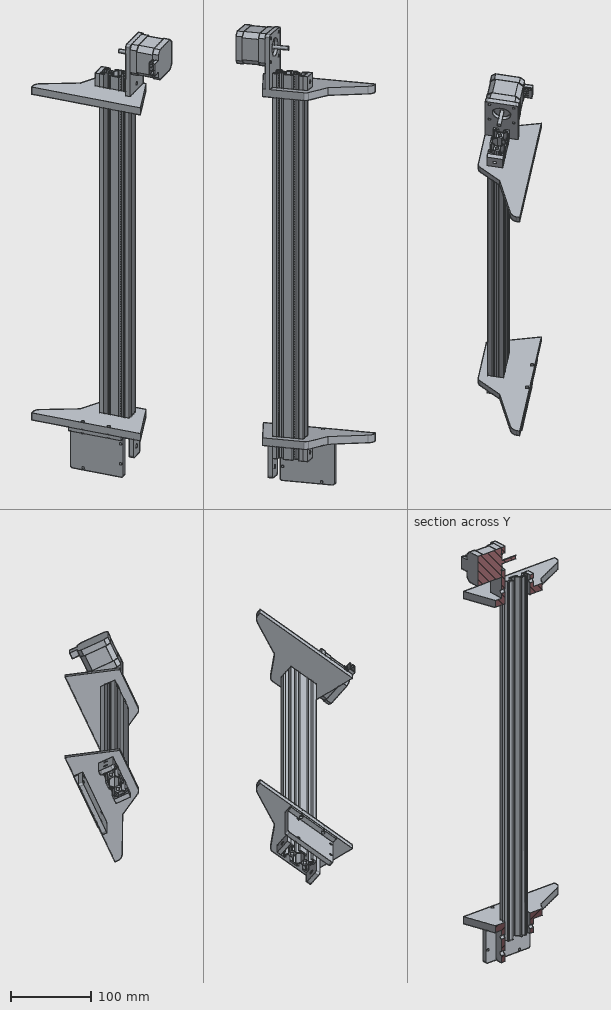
import cadquery as cq
import math

MODULE = 20.0
RAIL_WIDTH = 2 * MODULE
RAIL_BOTTOM = 40.0
RAIL_TOP = 539.5
SLOT_MOUTH_HALF = 4.55
SLOT_THROAT_HALF = 3.1
LIP = 2.0
CORE = 7.5
WEB = 1.5
CORE_RIDGE = 0.5
MIDDLE_HALF_WIDTH = 1.5
BORE_DIAMETER = 4.2

PLATE_THICKNESS = 10.0
LOWER_PLATE_BOTTOM = 59.0
UPPER_PLATE_BOTTOM = 512.0
PLATE_LEFT = -97.0
PLATE_RIGHT = 50.5
PLATE_DEPTH = 66.0
WING_TIP_HEIGHT = 10.0
WING_KINK_X = -46.0
WING_KINK_Y = -10.0
BACK_LEFT_X = -28.5
BACK_RIGHT_X = 29.5
TIP_RADIUS = 10.0
BACK_RADIUS = 6.0
TAB_THICKNESS = 6.0
TAB_CORNER_RADIUS = 3.0
TAB_HOLE_DIAMETER = 4.5
RIGHT_TAB_BOTTOM = 14.0
END_HOLE_DIAMETER = 5.3
END_HOLE_Z = 27.0

TOTAL_HEIGHT = 592.5
MOTOR_SIZE = 42.0
STACK_SIZE = 41.5
MOTOR_LENGTH = 38.5
FRONT_CAP_LENGTH = 9.0
REAR_CAP_LENGTH = 8.0
CAP_CHAMFER = 5.5
STACK_CHAMFER = 6.5
PILOT_DIAMETER = 22.0
PILOT_LENGTH = 2.0
PILOT_HOLE_DIAMETER = 23.0
SHAFT_DIAMETER = 5.0
SHAFT_LENGTH = 23.5
MOTOR_HOLE_SPACING = 31.0
MOTOR_HOLE_DIAMETER = 3.0
MOTOR_HOLE_DEPTH = 5.0
MOUNT_HOLE_DIAMETER = 3.4
CONNECTOR_WIDTH = 16.5
CONNECTOR_REACH = 10.5
CONNECTOR_WALL = 2.0
CONTACT_COUNT = 3
CONTACT_PITCH = 4.45
CONTACT_SLOT_HEIGHT = 0.9
CONTACT_SLOT_LENGTH = 6.0
KEYWAY_WIDTH = 2.5

PANEL_LEFT = -47.5
PANEL_WIDTH = 71.5
PANEL_THICKNESS = 6.0
PANEL_CORNER_RADIUS = 3.0
FLANGE_THICKNESS = 5.0
FLANGE_DEPTH = 12.5
FLANGE_HOLE_SPACING = 35.0
FLANGE_HOLE_DIAMETER = 4.2
BOARD_HOLE_DIAMETER = 3.2
BOARD_HOLES = [(-31.5, 51.5), (-30.0, 3.0), (21.0, 46.0), (21.0, 18.5)]

BACK_Y = MOTOR_SIZE / 2
FRONT_Y = BACK_Y - PLATE_DEPTH
RAIL_SPAN_Y = (-MODULE / 2, MODULE / 2)
TAB_INNER_X = RAIL_WIDTH / 2
TAB_OUTER_X = TAB_INNER_X + TAB_THICKNESS
MOTOR_Z = TOTAL_HEIGHT - MOTOR_SIZE / 2
UPPER_PLATE_TOP = UPPER_PLATE_BOTTOM + PLATE_THICKNESS
FLANGE_HOLE_Y = FRONT_Y + (FLANGE_DEPTH - PANEL_THICKNESS) / 2


def box(x_range, y_range, z_range):
    """Axis-aligned block between the given limits."""
    (x0, x1), (y0, y1), (z0, z1) = x_range, y_range, z_range
    return cq.Workplane("XY").box(x1 - x0, y1 - y0, z1 - z0, centered=False).translate((x0, y0, z0))


def rod_x(diameter, x_start, length, y, z):
    """Cylinder along +X."""
    return cq.Workplane("YZ", origin=(x_start, y, z)).circle(diameter / 2).extrude(length)


def motor_hole_centres():
    """(Y, Z) of the four screws on the motor face."""
    half = MOTOR_HOLE_SPACING / 2
    return [(y, MOTOR_Z + z) for y in (-half, half) for z in (-half, half)]


def slot_cutter(height):
    """V-slot void of one cell, opening toward +Y from a cell centred on the origin."""
    face = MODULE / 2
    inner = face - LIP
    web_offset = WEB / math.sqrt(2)
    floor = CORE / 2
    half_outline = [
        (SLOT_MOUTH_HALF, face),
        (SLOT_THROAT_HALF, inner),
        (inner - web_offset, inner),
        (floor - web_offset, floor),
    ]
    ridge = [(0, floor + CORE_RIDGE)]
    mirrored = [(-x, y) for x, y in reversed(half_outline)]
    return cq.Workplane("XY").polyline(half_outline + ridge + mirrored).close().extrude(height)


def middle_cutter(height):
    """Closed void between the two cores."""
    inner = MODULE / 2 - LIP
    web_offset = WEB / math.sqrt(2)
    core_side = MODULE / 2 - CORE / 2
    core_edge = CORE / 2 - web_offset
    upper_half = [
        (core_side, core_edge),
        (MIDDLE_HALF_WIDTH, inner),
        (-MIDDLE_HALF_WIDTH, inner),
        (-core_side, core_edge),
    ]
    lower_half = [(x, -y) for x, y in reversed(upper_half)]
    return cq.Workplane("XY").polyline(upper_half + lower_half).close().extrude(height)


def make_rail():
    height = RAIL_TOP - RAIL_BOTTOM
    rail = cq.Workplane("XY").rect(RAIL_WIDTH, MODULE).extrude(height)
    slot = slot_cutter(height)
    for cell_x, open_angles in ((-MODULE / 2, (0, 90, 180)), (MODULE / 2, (0, 180, 270))):
        for angle in open_angles:
            rail = rail.cut(slot.rotate((0, 0, 0), (0, 0, 1), angle).translate((cell_x, 0, 0)))
        rail = rail.cut(cq.Workplane("XY").center(cell_x, 0).circle(BORE_DIAMETER / 2).extrude(height))
    rail = rail.cut(middle_cutter(height))
    return rail.translate((0, 0, RAIL_BOTTOM))


def make_wing_plate(bottom):
    """Plate with one long wing, pierced by the rail."""
    wing_tip = (PLATE_LEFT, FRONT_Y + WING_TIP_HEIGHT)
    back_left = (BACK_LEFT_X, BACK_Y)
    outline = [
        (PLATE_LEFT, FRONT_Y),
        (PLATE_RIGHT, FRONT_Y),
        (BACK_RIGHT_X, BACK_Y),
        back_left,
        (WING_KINK_X, WING_KINK_Y),
        wing_tip,
    ]
    plate = cq.Workplane("XY").polyline(outline).close().extrude(PLATE_THICKNESS)
    tip_edge = cq.selectors.NearestToPointSelector((*wing_tip, PLATE_THICKNESS / 2))
    back_edge = cq.selectors.NearestToPointSelector((*back_left, PLATE_THICKNESS / 2))
    plate = plate.edges(tip_edge).fillet(TIP_RADIUS)
    plate = plate.edges(back_edge).fillet(BACK_RADIUS)
    rail_hole = cq.Workplane("XY").rect(RAIL_WIDTH, MODULE).extrude(PLATE_THICKNESS)
    return plate.cut(rail_hole).translate((0, 0, bottom))


def tab_x_range(side):
    """X limits of a tab: side -1 is left of the rail, +1 is right of it."""
    return tuple(sorted((side * TAB_INNER_X, side * TAB_OUTER_X)))


def tab_screw_holes(z):
    """Cutters for the screws through both tabs, stopping at the rail."""
    left = rod_x(TAB_HOLE_DIAMETER, -TAB_OUTER_X, TAB_THICKNESS, 0, z)
    right = rod_x(TAB_HOLE_DIAMETER, TAB_INNER_X, TAB_THICKNESS, 0, z)
    return left.add(right).combine()


def make_upper_bracket():
    motor_span_y = (-MOTOR_SIZE / 2, MOTOR_SIZE / 2)
    motor_tab = box(tab_x_range(1), motor_span_y, (UPPER_PLATE_TOP, TOTAL_HEIGHT))
    motor_tab = motor_tab.edges("|X and >Z").fillet(TAB_CORNER_RADIUS)
    bracket = make_wing_plate(UPPER_PLATE_BOTTOM).union(motor_tab)
    bracket = bracket.union(box(tab_x_range(-1), RAIL_SPAN_Y, (UPPER_PLATE_TOP, RAIL_TOP)))
    bracket = bracket.cut(tab_screw_holes((UPPER_PLATE_TOP + RAIL_TOP) / 2))
    bracket = bracket.cut(rod_x(PILOT_HOLE_DIAMETER, TAB_INNER_X, TAB_THICKNESS, 0, MOTOR_Z))
    for y, z in motor_hole_centres():
        bracket = bracket.cut(rod_x(MOUNT_HOLE_DIAMETER, TAB_INNER_X, TAB_THICKNESS, y, z))
    return bracket


def make_lower_bracket():
    right_tab = box(tab_x_range(1), RAIL_SPAN_Y, (RIGHT_TAB_BOTTOM, LOWER_PLATE_BOTTOM))
    right_tab = right_tab.edges("|X and <Z").fillet(TAB_CORNER_RADIUS)
    bracket = make_wing_plate(LOWER_PLATE_BOTTOM).union(right_tab)
    bracket = bracket.union(box(tab_x_range(-1), RAIL_SPAN_Y, (RAIL_BOTTOM, LOWER_PLATE_BOTTOM)))
    bracket = bracket.cut(tab_screw_holes((RAIL_BOTTOM + LOWER_PLATE_BOTTOM) / 2))
    bracket = bracket.cut(rod_x(END_HOLE_DIAMETER, TAB_INNER_X, TAB_THICKNESS, 0, END_HOLE_Z))
    return bracket.cut(flange_screws(LOWER_PLATE_BOTTOM, PLATE_THICKNESS))


def flange_screws(bottom, height):
    """Cutters for the two vertical screws that hold the board holder to the lower plate."""
    centre_x = PANEL_LEFT + PANEL_WIDTH / 2
    half = FLANGE_HOLE_SPACING / 2
    return (
        cq.Workplane("XY", origin=(centre_x, FLANGE_HOLE_Y, bottom))
        .pushPoints([(-half, 0), (half, 0)])
        .circle(FLANGE_HOLE_DIAMETER / 2)
        .extrude(height)
    )


def motor_block(x_start, length, size, chamfer):
    """Square length of the motor with its four long edges cut off."""
    block = cq.Workplane("YZ", origin=(x_start, 0, MOTOR_Z)).rect(size, size).extrude(length)
    return block.edges("|X").chamfer(chamfer)


def make_connector(x_range):
    """Socket on the front side of the rear cap, open toward -Y."""
    x0, x1 = x_range
    side = -MOTOR_SIZE / 2
    tip = side - CONNECTOR_REACH
    z0 = MOTOR_Z - CONNECTOR_WIDTH / 2
    z1 = MOTOR_Z + CONNECTOR_WIDTH / 2
    wall = CONNECTOR_WALL
    socket = box((x0 + wall, x1 - wall), (tip, side), (z0 + wall, z1 - wall))
    connector = box(x_range, (tip, side), (z0, z1)).cut(socket)
    for i in range(CONTACT_COUNT):
        slot_z = MOTOR_Z + (i - (CONTACT_COUNT - 1) / 2) * CONTACT_PITCH
        slot_range = (slot_z - CONTACT_SLOT_HEIGHT / 2, slot_z + CONTACT_SLOT_HEIGHT / 2)
        connector = connector.cut(box((x0, x0 + wall), (side - CONTACT_SLOT_LENGTH, side), slot_range))
    keyway = box((x0 + wall, x0 + wall + KEYWAY_WIDTH), (tip, side), (z1 - wall, z1))
    return connector.cut(keyway)


def make_motor():
    face_x = TAB_OUTER_X
    end_x = face_x + MOTOR_LENGTH
    stack_length = MOTOR_LENGTH - FRONT_CAP_LENGTH - REAR_CAP_LENGTH
    motor = motor_block(face_x, FRONT_CAP_LENGTH, MOTOR_SIZE, CAP_CHAMFER)
    motor = motor.union(motor_block(face_x + FRONT_CAP_LENGTH, stack_length, STACK_SIZE, STACK_CHAMFER))
    motor = motor.union(motor_block(end_x - REAR_CAP_LENGTH, REAR_CAP_LENGTH, MOTOR_SIZE, CAP_CHAMFER))
    motor = motor.union(rod_x(PILOT_DIAMETER, face_x - PILOT_LENGTH, PILOT_LENGTH, 0, MOTOR_Z))
    motor = motor.union(rod_x(SHAFT_DIAMETER, face_x - SHAFT_LENGTH, SHAFT_LENGTH, 0, MOTOR_Z))
    for y, z in motor_hole_centres():
        motor = motor.cut(rod_x(MOTOR_HOLE_DIAMETER, face_x, MOTOR_HOLE_DEPTH, y, z))
    return motor.union(make_connector((end_x - REAR_CAP_LENGTH, end_x)))


def make_board_holder():
    x_range = (PANEL_LEFT, PANEL_LEFT + PANEL_WIDTH)
    flange_back = FRONT_Y + FLANGE_DEPTH
    panel_front = flange_back - PANEL_THICKNESS
    panel = box(x_range, (panel_front, flange_back), (0, LOWER_PLATE_BOTTOM))
    panel = panel.edges("|Y and <Z").fillet(PANEL_CORNER_RADIUS)
    flange_bottom = LOWER_PLATE_BOTTOM - FLANGE_THICKNESS
    holder = panel.union(box(x_range, (FRONT_Y, flange_back), (flange_bottom, LOWER_PLATE_BOTTOM)))
    board_holes = (
        cq.Workplane("XZ", origin=(0, flange_back, 0))
        .pushPoints(BOARD_HOLES)
        .circle(BOARD_HOLE_DIAMETER / 2)
        .extrude(PANEL_THICKNESS)
    )
    return holder.cut(board_holes).cut(flange_screws(flange_bottom, FLANGE_THICKNESS))


rail = make_rail()
upper_bracket = make_upper_bracket()
lower_bracket = make_lower_bracket()
motor = make_motor()
board_holder = make_board_holder()

result = cq.Compound.makeCompound(
    [rail.val(), upper_bracket.val(), lower_bracket.val(), motor.val(), board_holder.val()]
)